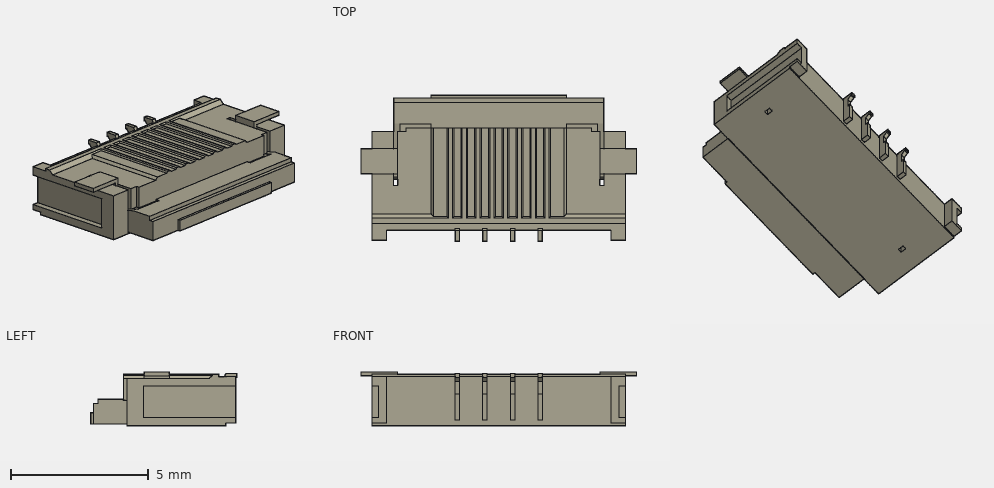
import cadquery as cq


HOUSING_WIDTH = 9.2
HOUSING_BACK = 3.95
LEG_WIDTH = 0.54
LEG_BOTTOM = 0.1
FRONT_WALL = 0.36
LEDGE_TOP = 1.78
DECK_TOP = 1.72

LIP_FRONT = 0.61
LIP_BACK = 0.81
LIP_TOP = 1.87
LIP_SLOPE = LIP_TOP - DECK_TOP

WINDOW_DEPTH = 0.25
WINDOW_BACK = 3.35
WINDOW_BOTTOM = 0.3
WINDOW_TOP = 1.45

REAR_WIDTH = 7.62
REAR_BOTTOM = 0.06
REAR_TOP = 0.97
REAR_BACK = 5.16
REAR_STEP_LENGTH = 0.16
REAR_STEP_HEIGHT = 0.16
PLATE_WIDTH = 4.92
PLATE_TOP = 0.48
PLATE_BACK = 5.26

UPPER_WIDTH = 6.72
UPPER_BACK = 4.07
RELIEF_BACK = 4.22
RELIEF_DEPTH = 0.06
RELIEF_OUTER = 3.57

SLOT_WIDTH = 0.15
SLOT_OUTER = REAR_WIDTH / 2
SLOT_INNER = SLOT_OUTER - SLOT_WIDTH
SLOT_FRONT = 1.99
SLOT_OPENING = 0.22
SLOT_FLOOR_DROP_PER_LENGTH = 0.2
SLOT_FLOOR_CHAMFER = 0.09

ARM_SPAN = 10.0
ARM_FRONT = 2.41
ARM_BACK = 3.32
ARM_THICKNESS = 0.15
ARM_TOP = 1.96

PAD_BASE_WIDTH = PLATE_WIDTH
PAD_BEVEL = LIP_SLOPE
CHANNEL_DEPTH = 0.05
CHANNEL_TAPER = 45.0
CHANNEL_WIDTH = 0.35
CHANNEL_PITCH = 0.5
CHANNEL_COUNT = 7
OUTER_CHANNEL_START = 1.82

PIN_COUNT = 4
PIN_PITCH = 1.0
PIN_WIDTH = 0.16
PIN_TIP = -0.04
PIN_UPPER_FRONT = 0.16
PIN_LOWER_FRONT = 0.07
PIN_ROOT = 0.42
PIN_TOP = 1.9
PIN_HOOK_BOTTOM = 1.75
PIN_HOOK_CHAMFER = 0.15
PIN_NECK_TOP = PIN_HOOK_BOTTOM - PIN_HOOK_CHAMFER
PIN_STEP = 1.15
PIN_BOTTOM = 0.21


def block(x_min, x_max, y_min, y_max, z_min, z_max):
    """Box given by its limits along each axis."""
    size = (x_max - x_min, y_max - y_min, z_max - z_min)
    return cq.Workplane("XY").box(*size, centered=False).translate((x_min, y_min, z_min))


def centered_block(width, y_min, y_max, z_min, z_max):
    return block(-width / 2, width / 2, y_min, y_max, z_min, z_max)


def side_profile(points, x_min, x_max):
    """Outline of (Y, Z) points extruded along X."""
    return cq.Workplane("YZ").workplane(offset=x_min).polyline(points).close().extrude(x_max - x_min)


def both_sides(shape):
    return shape.union(shape.mirror("YZ"))


def make_housing():
    half_width = HOUSING_WIDTH / 2
    outline = [
        (FRONT_WALL, 0),
        (HOUSING_BACK, 0),
        (HOUSING_BACK, DECK_TOP),
        (LIP_BACK + LIP_SLOPE, DECK_TOP),
        (LIP_BACK, LIP_TOP),
        (LIP_FRONT, LIP_TOP),
        (LIP_FRONT, LEDGE_TOP),
        (FRONT_WALL, LEDGE_TOP),
    ]
    body = side_profile(outline, -half_width, half_width)
    leg = block(half_width - LEG_WIDTH, half_width, 0, FRONT_WALL, LEG_BOTTOM, LEDGE_TOP)
    window = block(half_width - WINDOW_DEPTH, half_width, 0, WINDOW_BACK, WINDOW_BOTTOM, WINDOW_TOP)
    return body.union(both_sides(leg)).cut(both_sides(window))


def make_rear_block():
    step_front = REAR_BACK - REAR_STEP_LENGTH
    step_top = REAR_TOP - REAR_STEP_HEIGHT
    lower = centered_block(REAR_WIDTH, HOUSING_BACK, REAR_BACK, REAR_BOTTOM, step_top)
    upper = centered_block(REAR_WIDTH, HOUSING_BACK, step_front, step_top, REAR_TOP)
    plate = centered_block(PLATE_WIDTH, REAR_BACK, PLATE_BACK, REAR_BOTTOM, PLATE_TOP)
    relief_bottom = REAR_TOP - RELIEF_DEPTH
    relief = block(PAD_BASE_WIDTH / 2, RELIEF_OUTER, HOUSING_BACK, RELIEF_BACK, relief_bottom, REAR_TOP)
    rear = lower.union(upper).union(plate).cut(both_sides(relief))
    return rear.union(centered_block(UPPER_WIDTH, HOUSING_BACK, UPPER_BACK, relief_bottom, DECK_TOP))


def make_slot():
    """Slot with a floor that falls to the arm and runs level to an opening through the underside."""
    floor_front = SLOT_FRONT + SLOT_OPENING
    level_floor = REAR_TOP - (RELIEF_BACK - ARM_BACK) * SLOT_FLOOR_DROP_PER_LENGTH
    outline = [
        (SLOT_FRONT, 0),
        (floor_front, 0),
        (floor_front, level_floor - SLOT_FLOOR_CHAMFER),
        (floor_front + SLOT_FLOOR_CHAMFER, level_floor),
        (ARM_BACK, level_floor),
        (RELIEF_BACK, REAR_TOP),
        (RELIEF_BACK, DECK_TOP),
        (SLOT_FRONT, DECK_TOP),
    ]
    slot = side_profile(outline, SLOT_INNER, SLOT_OUTER)
    floor_back_height = REAR_TOP - (RELIEF_BACK - HOUSING_BACK) * SLOT_FLOOR_DROP_PER_LENGTH
    ramp_outline = [
        (HOUSING_BACK, floor_back_height),
        (RELIEF_BACK, REAR_TOP),
        (HOUSING_BACK, REAR_TOP),
    ]
    return slot.union(side_profile(ramp_outline, RELIEF_OUTER, SLOT_OUTER))


def make_arm():
    tab = block(SLOT_INNER, ARM_SPAN / 2, ARM_FRONT, ARM_BACK, ARM_TOP - ARM_THICKNESS, ARM_TOP)
    return tab.union(block(SLOT_INNER, SLOT_OUTER, ARM_FRONT, ARM_BACK, REAR_BOTTOM, ARM_TOP))


def make_channel(x_min, x_max):
    """Shallow channel with sloping walls, running out through the back of the pad."""
    length = 2 * (UPPER_BACK - LIP_BACK)
    return (
        cq.Workplane("XY", origin=((x_min + x_max) / 2, LIP_BACK + length / 2, LIP_TOP))
        .rect(x_max - x_min, length)
        .extrude(-CHANNEL_DEPTH, taper=CHANNEL_TAPER)
    )


def make_pad():
    base = PAD_BASE_WIDTH / 2
    top = base - PAD_BEVEL
    outline = [(-base, DECK_TOP), (base, DECK_TOP), (top, LIP_TOP), (-top, LIP_TOP)]
    pad = cq.Workplane("XZ", origin=(0, LIP_BACK, 0)).polyline(outline).close().extrude(LIP_BACK - UPPER_BACK)
    for index in range(CHANNEL_COUNT):
        center = (index - (CHANNEL_COUNT - 1) / 2) * CHANNEL_PITCH
        pad = pad.cut(make_channel(center - CHANNEL_WIDTH / 2, center + CHANNEL_WIDTH / 2))
    return pad.cut(both_sides(make_channel(OUTER_CHANNEL_START, base + PAD_BEVEL)))


def make_pin(center):
    outline = [
        (PIN_ROOT, PIN_BOTTOM),
        (PIN_LOWER_FRONT, PIN_BOTTOM),
        (PIN_LOWER_FRONT, PIN_STEP),
        (PIN_UPPER_FRONT, PIN_STEP),
        (PIN_UPPER_FRONT, PIN_NECK_TOP),
        (PIN_UPPER_FRONT - PIN_HOOK_CHAMFER, PIN_HOOK_BOTTOM),
        (PIN_TIP, PIN_HOOK_BOTTOM),
        (PIN_TIP, PIN_TOP),
        (FRONT_WALL, PIN_TOP),
        (PIN_ROOT, LEDGE_TOP),
    ]
    return side_profile(outline, center - PIN_WIDTH / 2, center + PIN_WIDTH / 2)


result = make_housing().union(make_rear_block()).cut(both_sides(make_slot()))
result = result.union(both_sides(make_arm())).union(make_pad())
for pin_index in range(PIN_COUNT):
    result = result.union(make_pin((pin_index - (PIN_COUNT - 1) / 2) * PIN_PITCH))